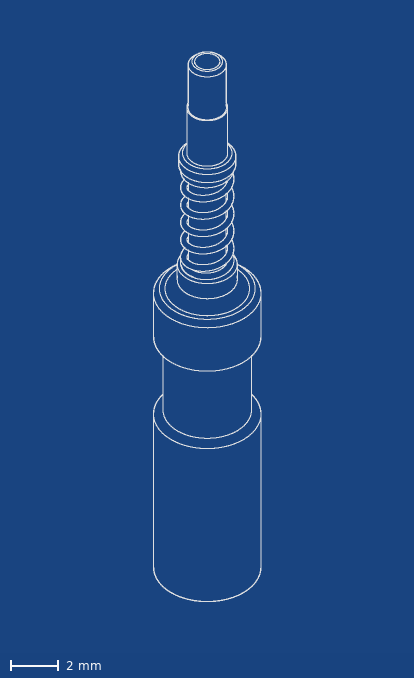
import cadquery as cq
import math

total_height = 27.6
bore_diameter = 1.05

body_diameter = 4.5
neck_diameter = 3.7
sleeve_top = 8.58
sleeve_cone_height = 0.22
head_bottom = 12.59
head_edge = 14.95
head_chamfer = 0.25
flare_diameter = 3.53
flare_top = 15.7
flare_hollow = 0.035

seat_diameter = 2.5
seat_top = 16.53
stem_diameter = 1.57
collar_diameter = 2.4
collar_bottom = 22.0
collar_top = 22.6
collar_chamfer = 0.17
shank_diameter = 1.7
shank_top = 25.1
tip_diameter = 1.6
tip_chamfer = 0.17

wire_diameter = 0.28
spring_outer_diameter = 2.24
spring_turns = 7
closed_gap = 0.005
closed_pitch = wire_diameter + closed_gap
end_overlap = 0.05
spring_end_angle = 208
points_per_turn = 12


def turned_body():
    """Solid of revolution about Z, without the bore."""
    body_r = body_diameter / 2
    neck_r = neck_diameter / 2
    seat_r = seat_diameter / 2
    stem_r = stem_diameter / 2
    collar_r = collar_diameter / 2
    shank_r = shank_diameter / 2
    tip_r = tip_diameter / 2
    flare_r = flare_diameter / 2
    ledge_z = head_edge + head_chamfer

    profile = (
        cq.Workplane("XZ")
        .moveTo(0, 0)
        .lineTo(body_r, 0)
        .lineTo(body_r, sleeve_top - sleeve_cone_height)
        .lineTo(neck_r, sleeve_top)
        .lineTo(neck_r, head_bottom)
        .lineTo(body_r, head_bottom)
        .lineTo(body_r, head_edge)
        .lineTo(body_r - head_chamfer, ledge_z)
        .lineTo(flare_r, ledge_z)
        .sagittaArc((seat_r, flare_top), flare_hollow)
        .lineTo(seat_r, seat_top)
        .lineTo(stem_r, seat_top)
        .lineTo(stem_r, collar_bottom)
        .lineTo(collar_r, collar_bottom)
        .lineTo(collar_r, collar_top - collar_chamfer)
        .lineTo(collar_r - collar_chamfer, collar_top)
        .lineTo(shank_r, collar_top)
        .lineTo(shank_r, shank_top)
        .lineTo(tip_r, shank_top)
        .lineTo(tip_r, total_height - tip_chamfer)
        .lineTo(tip_r - tip_chamfer, total_height)
        .lineTo(0, total_height)
        .close()
    )
    return profile.revolve(360, (0, 0, 0), (0, 1, 0))


def spring():
    """Round wire swept along a helix that closes up at both ends."""
    coil_radius = (spring_outer_diameter - wire_diameter) / 2
    start_z = seat_top + wire_diameter / 2 - end_overlap
    end_z = collar_bottom - wire_diameter / 2 + end_overlap
    open_pitch = (end_z - start_z - 2 * closed_pitch) / (spring_turns - 2)

    def wire_centre(turn):
        closed_turns = min(turn, 1) + max(turn - (spring_turns - 1), 0)
        open_turns = turn - closed_turns
        angle = math.radians(spring_end_angle) + 2 * math.pi * turn
        return cq.Vector(
            coil_radius * math.cos(angle),
            coil_radius * math.sin(angle),
            start_z + closed_pitch * closed_turns + open_pitch * open_turns,
        )

    points = [wire_centre(i / points_per_turn) for i in range(spring_turns * points_per_turn + 1)]
    path = cq.Edge.makeSpline(points)
    start_plane = cq.Plane(origin=points[0], normal=path.tangentAt(0))
    wire_section = cq.Workplane(start_plane).circle(wire_diameter / 2)
    return wire_section.sweep(cq.Wire.assembleEdges([path]), isFrenet=True)


bore = cq.Workplane("XY").circle(bore_diameter / 2).extrude(total_height)

result = turned_body().union(spring()).cut(bore)